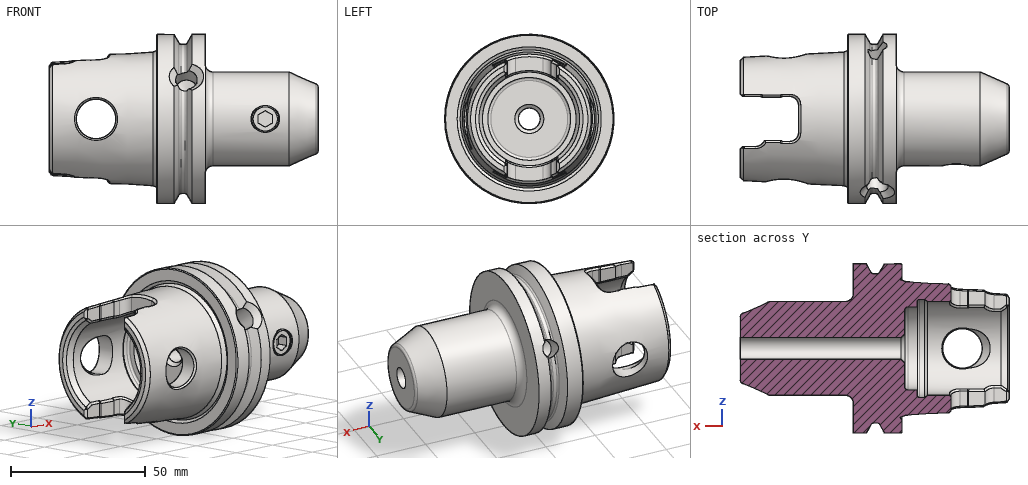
import cadquery as cq
import math

total_length = 99.95
mouth_chamfer_end = 1.3
taper_end = 38.5
flange_start = 39.8
flange_end = 58.0
shank_start = 60.9
nose_start = 89.2

mouth_radius = 21.8
taper_small_radius = 23.0
taper_large_radius = 24.9
flange_radius = 31.5
shank_radius = 17.5
nose_end_radius = 12.7
nose_fillet = 1.3

flange_chamfer = 0.4
relief_inner_radius = 25.7
relief_outer_radius = 26.8
relief_depth = 0.7
groove_start = 46.4
groove_end = 53.1
groove_bottom_radius = 27.8
groove_wall_angle = 30.0
groove_fillet = 0.8

mouth_bore_radius = 20.0
mouth_cone_radius = 18.7
mouth_cone_depth = 0.7
bore_radius = 17.4
bore_start = 3.0
undercut_radius = 18.2
undercut_start = 30.3
undercut_slope_length = 1.2
shoulder_depth = 34.2
shoulder_fillet = 0.8
recess_radius = 15.4
recess_depth = 38.8
recess_fillet = 1.1
coolant_radius = 4.0
coolant_mouth_radius = 5.4

slot_half_width = 8.3
slot_waist_half_width = 8.0
slot_floor = 21.6
slot_corner_radius = 3.2
slot_mouth_chamfer = 1.0
slot_waist_start = 7.6
slot_waist_end = 15.2
slot_waist_ramp = 0.4
wide_half_width = 10.2
wide_flat_end = 5.6
wide_arc_end = 9.0
slot_outer_chamfer = 0.9
slot_inner_chamfer = 0.6
selection_margin = 0.1

cross_hole_x = 17.4
cross_hole_radius = 7.3
cross_hole_outer_chamfer = 0.7
cross_hole_inner_chamfer = 0.4
oblique_relief_length = 10.0

flange_hole_x = 51.0
flange_hole_angle = 30.0
flange_hole_floor_radius = 21.9
flange_hole_overshoot = 1.0
drill_point_angle = 118.0
front_hole_radius = 4.0
front_sink_radius = 6.4
rear_hole_radius = 3.5

screw_x = 80.3
screw_radius = 5.0
screw_chamfer = 0.5
screw_head_y = 17.0
screw_length = 12.0
screw_tip_y = screw_head_y - screw_length
screw_hole_rim = 5.3
hex_across_flats = 5.3
hex_depth = 4.0


def make_outer_body():
    """Solid of revolution with the taper, the flange and the shank."""
    half_groove = (flange_radius - groove_bottom_radius) * math.tan(math.radians(groove_wall_angle))
    fillet_radius = shank_start - flange_end
    arc_half = fillet_radius * (1 - math.sqrt(0.5))
    profile = (
        cq.Workplane("XY")
        .moveTo(0, 0)
        .lineTo(0, mouth_radius)
        .lineTo(mouth_chamfer_end, taper_small_radius)
        .lineTo(taper_end, taper_large_radius)
        .lineTo(flange_start + relief_depth, relief_inner_radius)
        .lineTo(flange_start, relief_outer_radius)
        .lineTo(flange_start, flange_radius - flange_chamfer)
        .lineTo(flange_start + flange_chamfer, flange_radius)
        .lineTo(groove_start, flange_radius)
        .lineTo(groove_start + half_groove, groove_bottom_radius)
        .lineTo(groove_end - half_groove, groove_bottom_radius)
        .lineTo(groove_end, flange_radius)
        .lineTo(flange_end, flange_radius)
        .lineTo(flange_end, shank_radius + fillet_radius)
        .threePointArc(
            (flange_end + arc_half, shank_radius + arc_half),
            (shank_start, shank_radius),
        )
        .lineTo(nose_start, shank_radius)
        .lineTo(total_length, nose_end_radius)
        .lineTo(total_length, 0)
        .close()
    )
    body = profile.revolve(360, (0, 0, 0), (1, 0, 0))
    body = body.faces(">X").edges().fillet(nose_fillet)
    at_bottom = body.edges("%CIRCLE").filter(
        lambda edge: abs(edge.radius() - groove_bottom_radius) < 0.01
    )
    return at_bottom.fillet(groove_fillet)


def make_bore():
    """Solid of revolution to be removed from the hollow taper and along the axis."""
    profile = (
        cq.Workplane("XY")
        .moveTo(0, 0)
        .lineTo(0, mouth_bore_radius)
        .lineTo(mouth_cone_depth, mouth_cone_radius)
        .lineTo(bore_start, bore_radius)
        .lineTo(undercut_start, bore_radius)
        .lineTo(undercut_start + undercut_slope_length, undercut_radius)
        .lineTo(shoulder_depth - shoulder_fillet, undercut_radius)
        .radiusArc((shoulder_depth, undercut_radius - shoulder_fillet), shoulder_fillet)
        .lineTo(shoulder_depth, recess_radius)
        .lineTo(recess_depth - recess_fillet, recess_radius)
        .radiusArc((recess_depth, recess_radius - recess_fillet), recess_fillet)
        .lineTo(recess_depth, coolant_mouth_radius)
        .lineTo(recess_depth + coolant_mouth_radius - coolant_radius, coolant_radius)
        .lineTo(total_length, coolant_radius)
        .lineTo(total_length, 0)
        .close()
    )
    return profile.revolve(360, (0, 0, 0), (1, 0, 0))


def make_slot_cutter():
    """Cutter for both drive slots, with a waist and a wider mouth on the -Y side."""
    w, c, r = slot_half_width, slot_mouth_chamfer, slot_corner_radius
    waist = slot_waist_half_width
    wide_rise = wide_half_width - waist
    wide_run = wide_arc_end - wide_flat_end
    wide_arc_radius = (wide_run**2 + wide_rise**2) / (2 * wide_rise)
    profile = (
        cq.Workplane("XY")
        .moveTo(0, w + c)
        .lineTo(c, w)
        .lineTo(slot_waist_start, w)
        .lineTo(slot_waist_start + slot_waist_ramp, waist)
        .lineTo(slot_waist_end, waist)
        .lineTo(slot_waist_end + slot_waist_ramp, w)
        .lineTo(slot_floor - r, w)
        .radiusArc((slot_floor, w - r), r)
        .lineTo(slot_floor, r - w)
        .radiusArc((slot_floor - r, -w), r)
        .lineTo(slot_waist_end + slot_waist_ramp, -w)
        .lineTo(slot_waist_end, -waist)
        .lineTo(wide_arc_end, -waist)
        .radiusArc((wide_flat_end, -wide_half_width), wide_arc_radius)
        .lineTo(c, -wide_half_width)
        .lineTo(0, -wide_half_width - c)
        .close()
    )
    return profile.extrude(flange_radius, both=True)


def wall_edges(body, box, lowest_radius, highest_radius):
    """Edges inside a box that lie on the taper wall between two distances from the axis."""

    def on_wall(edge):
        middle = edge.positionAt(0.5)
        across_wall = edge.geomType() == "LINE" and abs(edge.tangentAt(0.5).z) > 0.999
        return not across_wall and lowest_radius < math.hypot(middle.y, middle.z) < highest_radius

    return body.edges(box).filter(on_wall)


def bevel_opening(body, box, outer_chamfer, inner_chamfer):
    """Bevel an opening through the taper wall, on the outer cone and in the bore."""
    middle_radius = (bore_radius + taper_large_radius) / 2
    body = wall_edges(body, box, middle_radius, taper_large_radius).chamfer(outer_chamfer)
    return wall_edges(body, box, 0, middle_radius).chamfer(inner_chamfer)


def cut_drive_slots(body):
    """Cut both drive slots and bevel their edges behind the mouth corners."""
    body = body.cut(make_slot_cutter())
    half_width = wide_half_width + slot_mouth_chamfer
    box = cq.selectors.BoxSelector(
        (slot_mouth_chamfer / 2 + selection_margin, -half_width, -flange_radius),
        (slot_floor + selection_margin, half_width, flange_radius),
    )
    return bevel_opening(body, box, slot_outer_chamfer, slot_inner_chamfer)


def make_oblique_relief(side):
    """Round cutter that slants from the mouth into the inner rim of the cross hole."""
    end = cq.Plane(
        origin=(cross_hole_x, side * bore_radius, 0),
        xDir=(0, 0, 1),
        normal=(-1, -side, 0),
    )
    return cq.Workplane(end).circle(cross_hole_radius).extrude(oblique_relief_length)


def cut_cross_hole(body):
    """Drill through both walls of the taper, bevel the rims and add the slanting reliefs."""
    cutter = (
        cq.Workplane("XZ")
        .center(cross_hole_x, 0)
        .circle(cross_hole_radius)
        .extrude(flange_radius, both=True)
    )
    body = body.cut(cutter)
    reach = cross_hole_radius / 2
    box = cq.selectors.BoxSelector(
        (cross_hole_x - reach, -flange_radius, -reach),
        (cross_hole_x + reach, flange_radius, reach),
    )
    body = bevel_opening(body, box, cross_hole_outer_chamfer, cross_hole_inner_chamfer)
    for side in (1, -1):
        body = body.cut(make_oblique_relief(side))
    return body


def make_flange_hole(radius, sink_radius, tilt):
    """Blind drilled hole pointing at the axis, tilted from +Z about the X axis."""
    point_depth = radius / math.tan(math.radians(drill_point_angle / 2))
    sink_slope_end = flange_radius - (sink_radius - radius)
    profile = (
        cq.Workplane("XZ")
        .moveTo(0, flange_hole_floor_radius - point_depth)
        .lineTo(radius, flange_hole_floor_radius)
        .lineTo(radius, sink_slope_end)
    )
    if sink_radius > radius:
        profile = profile.lineTo(sink_radius, flange_radius)
    cutter = (
        profile
        .lineTo(sink_radius, flange_radius + flange_hole_overshoot)
        .lineTo(0, flange_radius + flange_hole_overshoot)
        .close()
        .revolve(360, (0, 0, 0), (0, 1, 0))
    )
    return cutter.rotate((0, 0, 0), (1, 0, 0), tilt).translate((flange_hole_x, 0, 0))


def make_screw_hole():
    """Cutter for the screw hole, bevelled where it leaves the shank."""
    rim_step = screw_hole_rim - screw_radius
    profile = (
        cq.Workplane("XY")
        .moveTo(0, -screw_tip_y)
        .lineTo(screw_radius, -screw_tip_y)
        .lineTo(screw_radius, -screw_head_y)
        .lineTo(screw_hole_rim, -screw_head_y - rim_step)
        .lineTo(screw_hole_rim, -shank_radius)
        .lineTo(0, -shank_radius)
        .close()
    )
    return profile.revolve(360, (0, 0, 0), (0, 1, 0)).translate((screw_x, 0, 0))


def make_holder():
    """Tool holder with its hollow taper, flange and shank."""
    tilt = 90 - flange_hole_angle
    body = make_outer_body().cut(make_bore())
    body = cut_drive_slots(body)
    body = cut_cross_hole(body)
    body = body.cut(make_flange_hole(front_hole_radius, front_sink_radius, tilt))
    body = body.cut(make_flange_hole(rear_hole_radius, rear_hole_radius, -tilt))
    return body.cut(make_screw_hole())


def make_clamping_screw():
    """Headless screw with a bevelled outer end and a hexagon socket."""
    outer_end = cq.Workplane("XZ", origin=(screw_x, -screw_head_y, 0))
    screw = outer_end.circle(screw_radius).extrude(-screw_length)
    screw = screw.faces("<Y").chamfer(screw_chamfer)
    across_corners = hex_across_flats / math.cos(math.pi / 6)
    socket = outer_end.transformed(rotate=(0, 0, 30)).polygon(6, across_corners).extrude(-hex_depth)
    return screw.cut(socket)


holder = make_holder()
clamping_screw = make_clamping_screw()
result = cq.Compound.makeCompound([holder.val(), clamping_screw.val()])